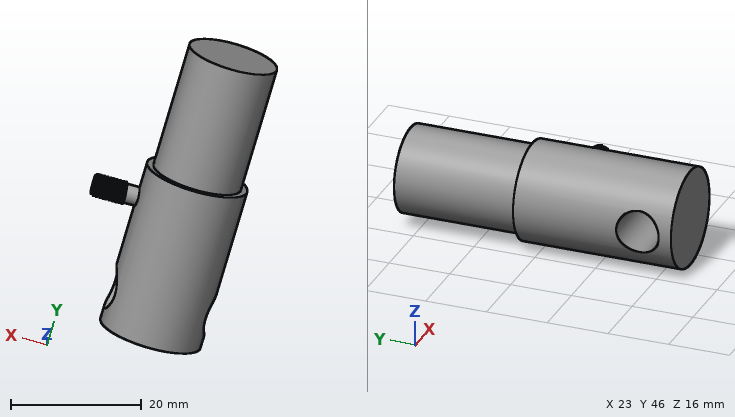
import cadquery as cq

total_length = 46.0
body_diameter = 16.0
body_length = 26.0
spigot_diameter = 14.0

hole_diameter = 7.0
hole_position = 5.5

overall_width = 23.0
stud_diameter = 3.0
stud_position = 20.45
stud_tip = overall_width - body_diameter / 2

thread_diameter = 3.45
thread_pitch = 0.5
thread_turns = 10
thread_root_width = 0.35
thread_crest_width = 0.15
thread_overlap = 0.1
thread_length = thread_pitch * thread_turns
thread_start = stud_tip - thread_length - thread_root_width / 2


def y_cylinder(diameter, length):
    return cq.Workplane("XZ").circle(diameter / 2).extrude(-length)


def make_cross_hole():
    return (
        cq.Workplane("YZ")
        .center(hole_position, 0)
        .circle(hole_diameter / 2)
        .extrude(body_diameter / 2, both=True)
    )


def make_stud():
    return (
        cq.Workplane("YZ")
        .center(stud_position, 0)
        .circle(stud_diameter / 2)
        .extrude(stud_tip)
    )


def make_thread():
    """Right-handed ridge starting and ending at the top of the stud."""
    core_radius = stud_diameter / 2
    root_radius = core_radius - thread_overlap
    crest_radius = thread_diameter / 2
    helix = cq.Wire.makeHelix(thread_pitch, thread_length, core_radius)
    ridge = (
        cq.Workplane("XZ")
        .moveTo(root_radius, -thread_root_width / 2)
        .lineTo(crest_radius, -thread_crest_width / 2)
        .lineTo(crest_radius, thread_crest_width / 2)
        .lineTo(root_radius, thread_root_width / 2)
        .close()
        .sweep(cq.Workplane(obj=helix), isFrenet=True)
    )
    return (
        ridge.rotate((0, 0, 0), (0, 1, 0), 90)
        .rotate((0, 0, 0), (1, 0, 0), 180)
        .translate((thread_start, stud_position, 0))
    )


body = y_cylinder(body_diameter, body_length).union(y_cylinder(spigot_diameter, total_length))
stud = make_stud().union(make_thread())
result = body.cut(make_cross_hole()).union(stud)